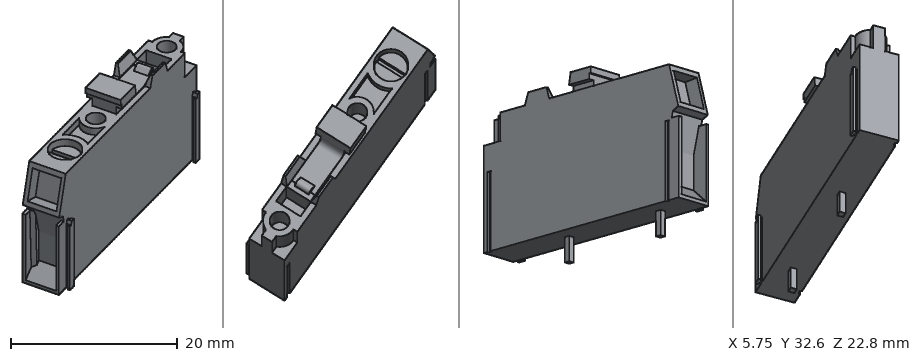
import cadquery as cq
import math


width = 5.1
length = 32.6
height = 17.05
mid_x = width / 2
deep = 3.6
shallow = 1.0

nose_top_y = 1.63
nose_tip_y = 0.08
nose_tip_z = 11.48
nose_root_z = 11.05
side_wall_top = 10.25
mouth_left = 0.5
mouth_right = 4.7
mouth_floor_front = 0.5
mouth_floor_back = 2.35
mouth_depth = 2.1
mouth_slope_z = 6.68
mouth_lean = 0.25
cheek_x = 1.08
cheek_start_y = 1.35
cheek_run = 0.35
cheek_lean = 0.037

window_left = 0.6
window_right = 4.6
window_top = 16.33
window_bottom = 12.13
window_depth = 1.85
window_roof_drop = 0.15

well_diameter = 2.38
rear_well_y = 29.83
front_well_y = 13.07
well_boss_radius = 2.0
neck_width = 1.5
screw_y = 5.8
bore_radius = 2.1
bore_depth = 1.95
screw_land_radius = 2.97
recess_margin = 0.78
latch_pocket_front = 25.72
latch_pocket_rear = 27.97

wing_height = 1.53
wing_front = 21.65
wing_rear = latch_pocket_front
wing_front_run = 0.5
wing_rear_run = 0.55
wing_top_thickness = 0.3

joint_ys = (2.0, 31.72)
rib_height = 10.05
rib_reach = 0.65
rib_neck_end = 0.23
rib_head_start = 0.35
rib_neck_half = 0.212
rib_head_half = 0.5
rib_step_z = 9.5
rib_step_front = -0.15
rib_step_back = -0.03
groove_depth = 0.23
groove_mouth_half = 0.3
groove_floor_half = 0.2

catch_width = 2.02
catch_front = 23.73
catch_ridge_y = 24.35
catch_ridge_z = 17.45
catch_crown_y = 24.75
catch_crown_z = 17.5
catch_rear = 25.1

slider_width = 3.4
slider_rear = 24.7
plate_top = 16.95
stem_front = 15.05
stem_rear = 18.45
fillet_radius = 0.78
head_width = 4.9
head_bottom = 18.1
head_top = 19.63
head_top_rear = 18.2
head_lip_front = 14.77
head_lip_bottom = 18.8

screw_radius = 2.0
screw_recess = 0.95
screw_slot_width = 0.6
screw_slot_depth = 0.6

pin_size = 0.78
pin_length = 3.15
pin_ys = (5.5, 20.75)


def block(x_range, y_range, z_range):
    """Box between the given limits."""
    size = [high - low for low, high in (x_range, y_range, z_range)]
    corner = (x_range[0], y_range[0], z_range[0])
    return cq.Workplane("XY").box(*size, centered=False).translate(corner)


def centred_x(size):
    """X limits of a feature centred across the housing."""
    return (mid_x - size / 2, mid_x + size / 2)


def side_prism(points, x_range):
    """Extrude a (Y, Z) outline between two X positions."""
    low, high = x_range
    return cq.Workplane("YZ", origin=(low, 0, 0)).polyline(points).close().extrude(high - low)


def top_cylinder(y, radius, depth):
    """Vertical cylinder reaching down from the top face."""
    return cq.Workplane("XY", origin=(mid_x, y, height - depth)).circle(radius).extrude(depth)


def mouth_back_y(z):
    """Position of the leaning back wall of the mouth at a given height."""
    return mouth_depth - mouth_lean * (z - mouth_slope_z)


def housing_blank():
    outline = [
        (0, 0),
        (length, 0),
        (length, height),
        (nose_top_y, height),
        (nose_tip_y, nose_tip_z),
        (mouth_back_y(nose_root_z), nose_root_z),
        (mouth_back_y(side_wall_top), side_wall_top),
        (0, side_wall_top),
    ]
    return side_prism(outline, (0, width))


def mouth_cheek():
    """Thickening of the left mouth wall behind a slanted, slightly leaning face."""

    def section(z):
        front = cheek_start_y - cheek_lean * z
        return [
            (mouth_left, front),
            (cheek_x, front + cheek_run),
            (cheek_x, mouth_depth),
            (mouth_left, mouth_depth),
        ]

    return (
        cq.Workplane("XY")
        .polyline(section(0))
        .close()
        .workplane(offset=side_wall_top)
        .polyline(section(side_wall_top))
        .close()
        .loft(ruled=True)
    )


def mouth():
    outline = [
        (0, mouth_floor_front),
        (mouth_depth, mouth_floor_back),
        (mouth_depth, mouth_slope_z),
        (mouth_back_y(side_wall_top), side_wall_top),
        (0, side_wall_top),
    ]
    return side_prism(outline, (mouth_left, mouth_right)).cut(mouth_cheek())


def nose_window():
    """Pocket in the sloped nose face, its back parallel to that face and its floor square to it."""
    slope = (nose_top_y - nose_tip_y) / (height - nose_tip_z)

    def face_y(z):
        return nose_tip_y + slope * (z - nose_tip_z)

    roof_z = window_top - window_roof_drop
    floor_z = window_bottom - slope * window_depth
    back_bottom_y = face_y(window_bottom) + window_depth
    outline = [
        (face_y(window_bottom), window_bottom),
        (back_bottom_y, floor_z),
        (back_bottom_y + slope * (roof_z - floor_z), roof_z),
        (face_y(window_top), window_top),
    ]
    return side_prism(outline, (window_left, window_right))


def rear_corner_cutouts():
    """Rear corners cut away around a round boss and the neck joining it to the rear face."""
    z_range = (height - deep, height)
    corners = block((0, width), (rear_well_y, length), z_range)
    neck = block(centred_x(neck_width), (rear_well_y, length), z_range)
    return corners.cut(top_cylinder(rear_well_y, well_boss_radius, deep)).cut(neck)


def label_recess():
    """Recess between the front well boss and the round land about the screw."""
    x_range = (recess_margin, width - recess_margin)
    recess = block(x_range, (screw_y, front_well_y), (height - shallow, height))
    recess = recess.cut(top_cylinder(front_well_y, well_boss_radius, shallow))
    return recess.cut(top_cylinder(screw_y, screw_land_radius, shallow))


def latch_pocket():
    x_range = (recess_margin, width - recess_margin)
    return block(x_range, (latch_pocket_front, latch_pocket_rear), (height - deep, height))


def slider_channel():
    return block(centred_x(slider_width), (stem_front, slider_rear), (height - shallow, height))


def guard_wings():
    """Pair of upright wings with tapered ends and a tapered inner face."""
    base_left, base_right = centred_x(slider_width)
    wing_top = height + wing_height
    outline = [
        (wing_front, height),
        (wing_rear, height),
        (wing_rear - wing_rear_run, wing_top),
        (wing_front + wing_front_run, wing_top),
    ]
    gap = (
        cq.Workplane("XZ", origin=(0, wing_rear, 0))
        .polyline([
            (base_left, height),
            (base_right, height),
            (width - wing_top_thickness, wing_top),
            (wing_top_thickness, wing_top),
        ])
        .close()
        .extrude(wing_rear - wing_front)
    )
    return side_prism(outline, (0, width)).cut(gap)


def slider_catch():
    """Wedge with a rounded crown, overhanging the rear end of the slider plate."""
    return (
        cq.Workplane("YZ", origin=(centred_x(catch_width)[0], 0, 0))
        .moveTo(catch_front, plate_top)
        .lineTo(slider_rear, plate_top)
        .lineTo(slider_rear, height)
        .lineTo(catch_rear, height)
        .threePointArc((catch_crown_y, catch_crown_z), (catch_ridge_y, catch_ridge_z))
        .close()
        .extrude(catch_width)
    )


def joining_rib(y):
    """Mushroom-section rib whose top steps up steeply towards the rear."""
    half_outline = [
        (0, rib_neck_half),
        (rib_neck_end, rib_neck_half),
        (rib_head_start, rib_head_half),
        (rib_reach, rib_head_half),
    ]
    mirrored = [(x, -half) for x, half in reversed(half_outline)]
    rib = (
        cq.Workplane("XY", origin=(width, y, 0))
        .polyline(half_outline + mirrored)
        .close()
        .extrude(rib_height)
    )
    step = [
        (y - rib_head_half, rib_step_z),
        (y + rib_step_front, rib_step_z),
        (y + rib_step_back, rib_height),
        (y - rib_head_half, rib_height),
    ]
    return rib.cut(side_prism(step, (width, width + rib_reach)))


def joining_groove(y):
    """Tapered groove, open at the underside."""
    return (
        cq.Workplane("XY", origin=(0, y, 0))
        .polyline([
            (0, -groove_mouth_half),
            (groove_depth, -groove_floor_half),
            (groove_depth, groove_floor_half),
            (0, groove_mouth_half),
        ])
        .close()
        .extrude(rib_height)
    )


def make_housing():
    body = housing_blank().union(guard_wings())
    for y in joint_ys:
        body = body.union(joining_rib(y)).cut(joining_groove(y))
    for y in (rear_well_y, front_well_y):
        body = body.cut(top_cylinder(y, well_diameter / 2, deep))
    body = body.cut(top_cylinder(screw_y, bore_radius, bore_depth))
    for cutter in (
        mouth(),
        nose_window(),
        rear_corner_cutouts(),
        label_recess(),
        latch_pocket(),
        slider_channel(),
    ):
        body = body.cut(cutter)
    return body.union(slider_catch())


def make_slider():
    """Sliding plate with a raised finger head at its front."""
    arc_shift = fillet_radius * (1 - math.sqrt(0.5))
    start_x = centred_x(slider_width)[0]
    body = (
        cq.Workplane("YZ", origin=(start_x, 0, 0))
        .moveTo(stem_front, height - shallow)
        .lineTo(slider_rear, height - shallow)
        .lineTo(slider_rear, plate_top)
        .lineTo(stem_rear + fillet_radius, plate_top)
        .threePointArc(
            (stem_rear + arc_shift, plate_top + arc_shift),
            (stem_rear, plate_top + fillet_radius),
        )
        .lineTo(stem_rear, head_bottom)
        .lineTo(stem_front, head_bottom)
        .close()
        .extrude(slider_width)
    )

    head = [
        (stem_front, head_bottom),
        (stem_rear, head_bottom),
        (head_top_rear, head_top),
        (head_lip_front, head_top),
        (head_lip_front, head_lip_bottom),
        (stem_front, head_lip_bottom),
    ]
    return body.union(side_prism(head, centred_x(head_width)))


def make_screw():
    """Slotted screw standing on the floor of its bore."""
    face_z = height - screw_recess
    bottom_z = height - bore_depth
    screw = (
        cq.Workplane("XY", origin=(mid_x, screw_y, bottom_z))
        .circle(screw_radius)
        .extrude(face_z - bottom_z)
    )
    slot = block(
        centred_x(2 * screw_radius),
        (screw_y - screw_slot_width / 2, screw_y + screw_slot_width / 2),
        (face_z - screw_slot_depth, face_z),
    )
    return screw.cut(slot)


def make_pin(y):
    """Square terminal pin standing against the underside."""
    return block(centred_x(pin_size), (y - pin_size / 2, y + pin_size / 2), (-pin_length, 0))


housing = make_housing()
slider = make_slider()
screw = make_screw()
pins = [make_pin(y) for y in pin_ys]

result = cq.Compound.makeCompound(
    [housing.val(), slider.val(), screw.val(), *[pin.val() for pin in pins]]
)